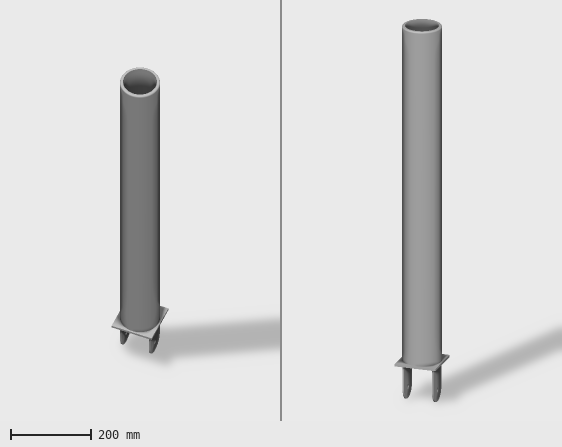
import cadquery as cq

total_height = 991.0
plate_side = 108.0
plate_thickness = 6.0

tube_diameter = 100.0
tube_wall = 8.0
rim_fillet = 4.0

lug_length = 100.0
lug_width = 60.0
lug_thickness = 4.0
lug_spacing = 77.0
lug_hole_diameter = 12.0

plate_bottom = lug_length
plate_top = plate_bottom + plate_thickness
tube_length = total_height - plate_top
lug_radius = lug_width / 2


def make_plate():
    return (
        cq.Workplane("XY")
        .workplane(offset=plate_bottom)
        .rect(plate_side, plate_side)
        .extrude(plate_thickness)
    )


def make_tube():
    """Round tube whose outer top edge is rounded."""
    outer_cylinder = (
        cq.Workplane("XY")
        .workplane(offset=plate_top)
        .circle(tube_diameter / 2)
        .extrude(tube_length)
        .faces(">Z")
        .fillet(rim_fillet)
    )
    bore = (
        cq.Workplane("XY")
        .workplane(offset=plate_top)
        .circle(tube_diameter / 2 - tube_wall)
        .extrude(tube_length)
    )
    return outer_cylinder.cut(bore)


def make_lug(x_center):
    """Upright lug with a semicircular tip and a hole concentric with it."""
    lug = (
        cq.Workplane("YZ")
        .workplane(offset=x_center - lug_thickness / 2)
        .moveTo(-lug_radius, plate_bottom)
        .lineTo(-lug_radius, lug_radius)
        .threePointArc((0, 0), (lug_radius, lug_radius))
        .lineTo(lug_radius, plate_bottom)
        .close()
        .extrude(lug_thickness)
    )
    hole = (
        cq.Workplane("YZ")
        .workplane(offset=x_center - lug_thickness / 2)
        .center(0, lug_radius)
        .circle(lug_hole_diameter / 2)
        .extrude(lug_thickness)
    )
    return lug.cut(hole)


result = make_plate().union(make_tube())
for side in (-1, 1):
    result = result.union(make_lug(side * lug_spacing / 2))